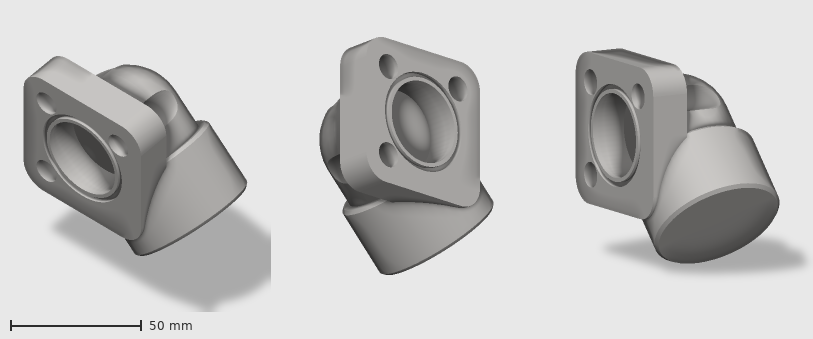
import cadquery as cq
import math

flange_side = 58.9
flange_thickness = 15.0
corner_radius = 9.9

screw_spacing = 36.05
screw_diameter = 10.0
head_clearance_diameter = 15.0

bore_diameter = 32.8
bore_depth = 13.8
groove_outer_diameter = 39.8
groove_inner_diameter = 35.8
groove_depth = 1.9

body_radius = 21.6
outlet_height = 27.0
outlet_angle = 45

collar_radius = 25.7
collar_start = 16.2
collar_end = 45.95
collar_chamfer = 1.3
outlet_overlap = collar_start + 2 * collar_chamfer

into_part = -1


def cylinder_along_y(radius, start, end, x=0, z=0):
    """Cylinder parallel to Y between two Y positions."""
    plane = cq.Workplane("XZ", origin=(x, start, z))
    return plane.circle(radius).extrude(into_part * (end - start))


def cylinder_along_outlet(radius, start, end):
    """Cylinder on the outlet axis, which slopes down towards +X and -Z."""
    angle = math.radians(outlet_angle)
    direction = cq.Vector(math.cos(angle), 0, -math.sin(angle))
    base = cq.Vector(0, outlet_height, 0) + direction * start
    return cq.Workplane(cq.Solid.makeCylinder(radius, end - start, base, direction))


def make_flange():
    plate = cq.Workplane("XZ").rect(flange_side, flange_side).extrude(into_part * flange_thickness)
    return plate.edges("|Y").fillet(corner_radius)


def make_body():
    """Elbow body, shaped with its outlet along +X and then turned to the outlet angle."""
    barrel_height = outlet_height - flange_thickness
    lower = (
        cq.Workplane("XZ", origin=(0, flange_thickness, 0))
        .moveTo(outlet_overlap, body_radius)
        .lineTo(0, body_radius)
        .threePointArc((-body_radius, 0), (0, -body_radius))
        .lineTo(outlet_overlap, -body_radius)
        .close()
        .extrude(into_part * barrel_height)
    )
    outlet_top = (
        cq.Workplane("YZ", origin=(0, outlet_height, 0))
        .moveTo(0, -body_radius)
        .threePointArc((body_radius, 0), (0, body_radius))
        .close()
        .extrude(outlet_overlap)
    )
    diagonal = body_radius * math.sqrt(0.5)
    ball = (
        cq.Workplane("YZ", origin=(0, outlet_height, 0))
        .lineTo(0, body_radius)
        .threePointArc((diagonal, diagonal), (body_radius, 0))
        .close()
        .revolve(180, (0, 0), (-1, 0))
    )
    body = lower.union(outlet_top).union(ball)
    return body.rotate((0, 0, 0), (0, 1, 0), outlet_angle)


def make_collar():
    collar = cylinder_along_outlet(collar_radius, collar_start, collar_end)
    return collar.faces("%PLANE").edges().chamfer(collar_chamfer)


def make_groove():
    outer = cylinder_along_y(groove_outer_diameter / 2, 0, groove_depth)
    inner = cylinder_along_y(groove_inner_diameter / 2, 0, groove_depth)
    return outer.cut(inner)


body = make_body()
half_spacing = screw_spacing / 2
screw_places = [
    (-half_spacing, half_spacing),
    (half_spacing, half_spacing),
    (-half_spacing, -half_spacing),
]
clearance_end = outlet_height + body_radius
for x, z in screw_places:
    head_clearance = cylinder_along_y(head_clearance_diameter / 2, flange_thickness, clearance_end, x, z)
    body = body.cut(head_clearance)

result = make_flange().union(body).union(make_collar())
for x, z in screw_places:
    result = result.cut(cylinder_along_y(screw_diameter / 2, 0, flange_thickness, x, z))
result = result.cut(cylinder_along_y(bore_diameter / 2, 0, bore_depth))
result = result.cut(make_groove())